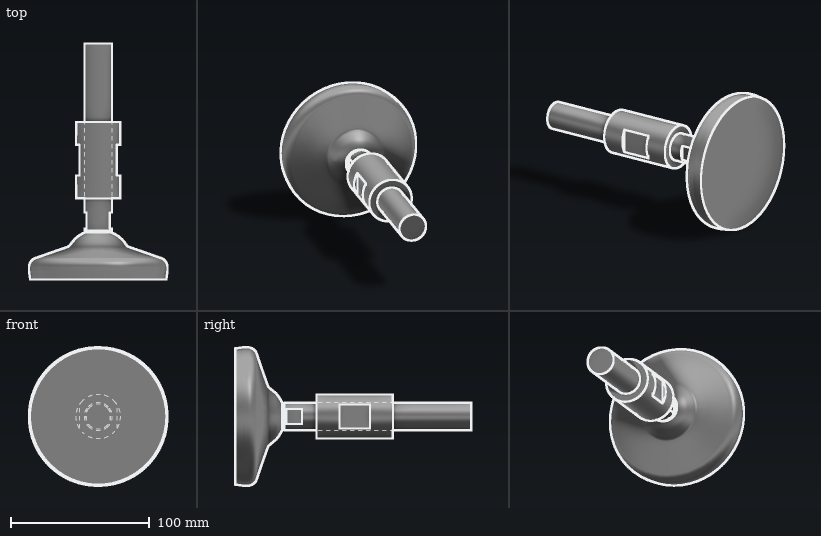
import cadquery as cq
import math

total_length = 170.0

rim_radius = 50.0
floor_radius = 49.1
rim_start = 6.3
rim_end = 9.2
shoulder_radius = 44.0
shoulder_y = 16.0
cone_top_radius = 22.1
cone_top_y = 23.6
dome_base_radius = 20.2
dome_base_y = 25.2
dome_top_radius = 10.0
dome_top_y = 33.8
dome_bulge = 1.0
shoulder_bulge = 1.5

spindle_radius = 10.0
groove_radius = 9.0
groove_top_y = 35.4
spindle_flat_width = 17.0
spindle_flat_start = 36.9
spindle_flat_length = 11.4

sleeve_diameter = 32.0
sleeve_start = 58.5
sleeve_length = 55.0
sleeve_flat_width = 27.0
sleeve_flat_length = 22.0


def bulged_midpoint(start, end, bulge):
    """Point on an arc from start to end, bulging outward from the chord middle."""
    dr = end[0] - start[0]
    dy = end[1] - start[1]
    chord = math.hypot(dr, dy)
    return (
        (start[0] + end[0]) / 2 + bulge * dy / chord,
        (start[1] + end[1]) / 2 - bulge * dr / chord,
    )


def cylinder_along_y(radius, start, length):
    """Solid cylinder running from start toward +Y."""
    return cq.Workplane("XZ", origin=(0, start, 0)).circle(radius).extrude(-length)


def cut_wrench_flats(body, diameter, width, start, length):
    """Cut two parallel flats facing -X and +X, width apart."""
    depth = (diameter - width) / 2
    for side in (-1, 1):
        cutter = cq.Workplane("XY").box(2 * depth, length, diameter)
        body = body.cut(cutter.translate((side * (width / 2 + depth), start + length / 2, 0)))
    return body


def make_foot():
    """Solid plate with a rounded rim, a conical top and a domed centre."""
    rim = (rim_radius, rim_end)
    shoulder = (shoulder_radius, shoulder_y)
    cone_top = (cone_top_radius, cone_top_y)
    dome_base = (dome_base_radius, dome_base_y)
    dome_top = (dome_top_radius, dome_top_y)
    profile = (
        cq.Workplane("XY")
        .lineTo(floor_radius, 0)
        .lineTo(rim_radius, rim_start)
        .lineTo(*rim)
        .threePointArc(bulged_midpoint(rim, shoulder, shoulder_bulge), shoulder)
        .lineTo(*cone_top)
        .tangentArcPoint(dome_base, relative=False)
        .threePointArc(bulged_midpoint(dome_base, dome_top, dome_bulge), dome_top)
        .lineTo(0, dome_top_y)
        .close()
    )
    return profile.revolve(360, (0, 0, 0), (0, 1, 0))


def make_spindle():
    """Rod standing on the dome, with a V-groove at its foot and wrench flats above the groove."""
    rod = (
        cq.Workplane("XY")
        .moveTo(0, dome_top_y)
        .lineTo(spindle_radius, dome_top_y)
        .lineTo(groove_radius, (dome_top_y + groove_top_y) / 2)
        .lineTo(spindle_radius, groove_top_y)
        .lineTo(spindle_radius, total_length)
        .lineTo(0, total_length)
        .close()
        .revolve(360, (0, 0, 0), (0, 1, 0))
    )
    return cut_wrench_flats(
        rod, 2 * spindle_radius, spindle_flat_width, spindle_flat_start, spindle_flat_length
    )


def make_sleeve():
    """Tube around the spindle with flats halfway along."""
    tube = cylinder_along_y(sleeve_diameter / 2, sleeve_start, sleeve_length)
    bore = cylinder_along_y(spindle_radius, sleeve_start, sleeve_length)
    flat_start = sleeve_start + (sleeve_length - sleeve_flat_length) / 2
    return cut_wrench_flats(
        tube.cut(bore), sleeve_diameter, sleeve_flat_width, flat_start, sleeve_flat_length
    )


foot = make_foot()
spindle = make_spindle()
sleeve = make_sleeve()

result = cq.Compound.makeCompound([foot.val(), spindle.val(), sleeve.val()])